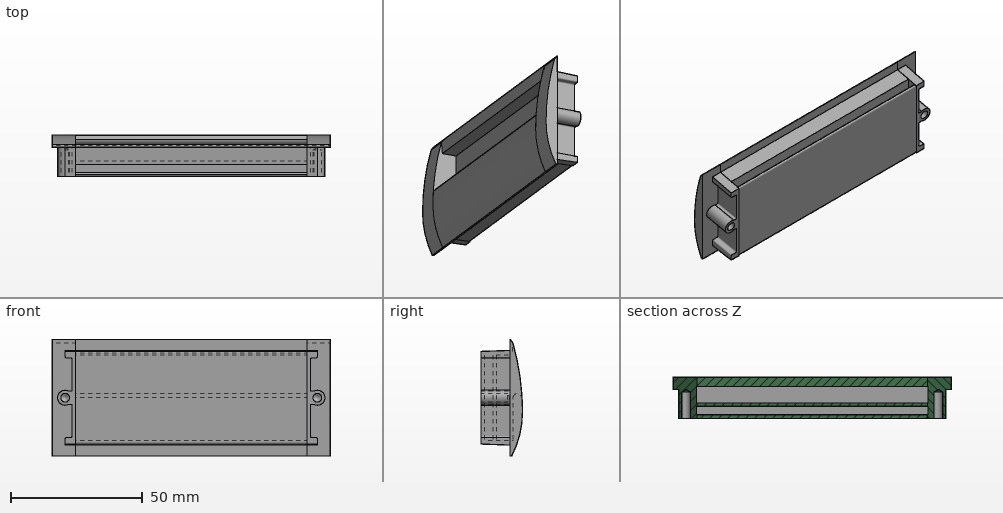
import cadquery as cq
import math

LENGTH = 105.5
CAP_LENGTH = 8.9
GRIP_LENGTH = LENGTH - 2 * CAP_LENGTH
GRIP_END_X = GRIP_LENGTH / 2
FLANGE_HALF_HEIGHT = 22.1
DOME_HEIGHT = 4.8
BODY_DEPTH = 11.0

RIM_THICKNESS = 0.15
APEX_Z = -5.5
BEVEL_Y = 1.2
BEVEL_Z = 20.7
LOWER_EDGE_Y = 0.7
UPPER_SAG = DOME_HEIGHT - BEVEL_Y
UPPER_SPAN = BEVEL_Z - APEX_Z
LOWER_SAG = DOME_HEIGHT - LOWER_EDGE_Y
LOWER_SPAN = FLANGE_HALF_HEIGHT + APEX_Z

BODY_HALF_HEIGHT = 18.0
DRAFT_ANGLE = 2.0
DRAFT_SLOPE = math.tan(math.radians(DRAFT_ANGLE))
BACK_HALF_HEIGHT = BODY_HALF_HEIGHT - BODY_DEPTH * DRAFT_SLOPE

WALL = 1.4
SLOT_FRONT_Y = -6.4
BACK_PLATE = 1.45
BACK_PLATE_ROUND = 0.7
BACK_PLATE_CHAMFER = 0.6
POCKET_BACK_Y = SLOT_FRONT_Y + WALL
POCKET_HALF_HEIGHT = BACK_HALF_HEIGHT - WALL
ROOF_FRONT_Y = 0.8
HOOK_BASE_Z = 0.0
HOOK_BEVEL = 1.7
HOOK_ROUND = 2.0
LIP_ROUND = 0.4

WEB = 1.35
ARM_REACH = 3.95
ARM_TIP_X = GRIP_END_X + ARM_REACH
ARM_INNER_Z = 15.05
ARM_FILLET = 0.5
BOSS_RADIUS = 2.85
BOSS_OFFSET = 4.0
BOSS_X = GRIP_END_X + BOSS_OFFSET
NECK_HALF_HEIGHT = 2.5
NECK_FILLET = 0.3
HOLE_DIAMETER = 3.3
HOLE_DEPTH = 10.0
DRILL_POINT_ANGLE = 118.0


def sagged_midpoint(edge_z, span, sag):
    """Point halfway (in Z) along an arc that is level at the apex and drops by sag over span."""
    radius = (span ** 2 + sag ** 2) / (2 * sag)
    drop = radius - math.sqrt(radius ** 2 - (span / 2) ** 2)
    return DOME_HEIGHT - drop, (edge_z + APEX_Z) / 2


def flange_profile(start_x):
    """Domed flange section in the YZ plane: two arcs meeting at the apex, with a bevelled upper edge."""
    return (
        cq.Workplane("YZ", origin=(start_x, 0, 0))
        .moveTo(0, -FLANGE_HALF_HEIGHT)
        .lineTo(LOWER_EDGE_Y, -FLANGE_HALF_HEIGHT)
        .threePointArc(sagged_midpoint(-FLANGE_HALF_HEIGHT, LOWER_SPAN, LOWER_SAG), (DOME_HEIGHT, APEX_Z))
        .threePointArc(sagged_midpoint(BEVEL_Z, UPPER_SPAN, UPPER_SAG), (BEVEL_Y, BEVEL_Z))
        .lineTo(RIM_THICKNESS, FLANGE_HALF_HEIGHT)
        .lineTo(0, FLANGE_HALF_HEIGHT)
        .close()
    )


def body_block(start_x, length):
    """Block behind the flange, tapering slightly in height toward its back."""
    return (
        cq.Workplane("YZ", origin=(start_x, 0, 0))
        .polyline([
            (0, -BODY_HALF_HEIGHT),
            (0, BODY_HALF_HEIGHT),
            (-BODY_DEPTH, BACK_HALF_HEIGHT),
            (-BODY_DEPTH, -BACK_HALF_HEIGHT),
        ])
        .close()
        .extrude(length)
    )


def finger_pocket():
    """Finger opening in the dome, running down behind the hooked lower lip."""
    hook_edge_y = DOME_HEIGHT - HOOK_BEVEL
    hook_edge_z = HOOK_BASE_Z + HOOK_BEVEL
    hook_back_y = hook_edge_y - HOOK_ROUND
    diagonal = HOOK_ROUND * math.sqrt(0.5)
    hook_middle = (
        hook_edge_y - diagonal,
        hook_edge_z - HOOK_ROUND + diagonal,
    )
    return (
        cq.Workplane("YZ", origin=(-GRIP_END_X, 0, 0))
        .moveTo(POCKET_BACK_Y, -POCKET_HALF_HEIGHT)
        .lineTo(POCKET_BACK_Y, POCKET_HALF_HEIGHT)
        .lineTo(ROOF_FRONT_Y, POCKET_HALF_HEIGHT)
        .lineTo(BEVEL_Y, BEVEL_Z)
        .lineTo(DOME_HEIGHT, BEVEL_Z)
        .lineTo(DOME_HEIGHT, HOOK_BASE_Z)
        .lineTo(hook_edge_y, hook_edge_z)
        .threePointArc(hook_middle, (hook_back_y, hook_edge_z - HOOK_ROUND))
        .lineTo(hook_back_y, -POCKET_HALF_HEIGHT)
        .close()
        .extrude(GRIP_LENGTH)
    )


def back_slot():
    """Slot between the pocket wall and the back plate, open upward, flared at the plate's top edge."""
    plate_front_y = -BODY_DEPTH + BACK_PLATE
    return (
        cq.Workplane("YZ", origin=(-GRIP_END_X, 0, 0))
        .polyline([
            (SLOT_FRONT_Y, -POCKET_HALF_HEIGHT),
            (SLOT_FRONT_Y, BODY_HALF_HEIGHT),
            (plate_front_y - BACK_PLATE_CHAMFER, BODY_HALF_HEIGHT),
            (plate_front_y - BACK_PLATE_CHAMFER, BACK_HALF_HEIGHT),
            (plate_front_y, BACK_HALF_HEIGHT - BACK_PLATE_CHAMFER),
            (plate_front_y, -POCKET_HALF_HEIGHT),
        ])
        .close()
        .extrude(GRIP_LENGTH)
    )


def make_grip():
    body = body_block(-GRIP_END_X, GRIP_LENGTH).faces("<Y").edges("|X").fillet(BACK_PLATE_ROUND)
    flange = flange_profile(-GRIP_END_X).extrude(GRIP_LENGTH)
    upper_lip = cq.selectors.NearestToPointSelector((0, BEVEL_Y, BEVEL_Z))
    return (
        flange.union(body)
        .cut(finger_pocket())
        .cut(back_slot())
        .edges(upper_lip)
        .fillet(LIP_ROUND)
    )


def web_and_arms():
    """Back half of a cap: a web against the grip, with an arm at its top and bottom."""
    web_face_x = GRIP_END_X + WEB
    channel = (
        cq.Workplane("XY")
        .box(ARM_REACH - WEB, BODY_DEPTH, 2 * ARM_INNER_Z)
        .translate(((web_face_x + ARM_TIP_X) / 2, -BODY_DEPTH / 2, 0))
    )
    inner_edges = cq.selectors.BoxSelector(
        (GRIP_END_X + WEB / 2, -BODY_DEPTH, -ARM_INNER_Z - ARM_FILLET),
        (ARM_TIP_X + WEB / 2, 0, ARM_INNER_Z + ARM_FILLET),
    )
    return (
        body_block(GRIP_END_X, ARM_REACH)
        .cut(channel)
        .edges("|Y")
        .edges(inner_edges)
        .fillet(ARM_FILLET)
    )


def screw_boss():
    """Round boss along Y, joined to the web by a short neck that widens in small fillets at the web."""
    web_face_x = GRIP_END_X + WEB
    boss = (
        cq.Workplane("XZ", origin=(BOSS_X, 0, 0))
        .circle(BOSS_RADIUS)
        .extrude(BODY_DEPTH)
    )
    fillet_end_x = web_face_x + NECK_FILLET
    fillet_top_z = NECK_HALF_HEIGHT + NECK_FILLET
    neck = (
        cq.Workplane("XZ")
        .moveTo(BOSS_X, -NECK_HALF_HEIGHT)
        .lineTo(BOSS_X, NECK_HALF_HEIGHT)
        .lineTo(fillet_end_x, NECK_HALF_HEIGHT)
        .radiusArc((web_face_x, fillet_top_z), NECK_FILLET)
        .lineTo(web_face_x, -fillet_top_z)
        .radiusArc((fillet_end_x, -NECK_HALF_HEIGHT), NECK_FILLET)
        .close()
        .extrude(BODY_DEPTH)
    )
    return boss.union(neck)


def screw_hole():
    """Blind hole from the back of the boss, ending in a drill point."""
    radius = HOLE_DIAMETER / 2
    point_depth = radius / math.tan(math.radians(DRILL_POINT_ANGLE / 2))
    return (
        cq.Workplane("XY")
        .polyline([
            (0, 0),
            (radius, 0),
            (radius, HOLE_DEPTH),
            (0, HOLE_DEPTH + point_depth),
        ])
        .close()
        .revolve(360, (0, 0, 0), (0, 1, 0))
        .translate((BOSS_X, -BODY_DEPTH, 0))
    )


def make_right_cap():
    flange = flange_profile(GRIP_END_X).extrude(CAP_LENGTH)
    return flange.union(web_and_arms()).union(screw_boss()).cut(screw_hole())


grip = make_grip()
right_cap = make_right_cap()
left_cap = right_cap.mirror("YZ")
bodies = [grip, right_cap, left_cap]

result = cq.Compound.makeCompound([body.solids().val() for body in bodies])